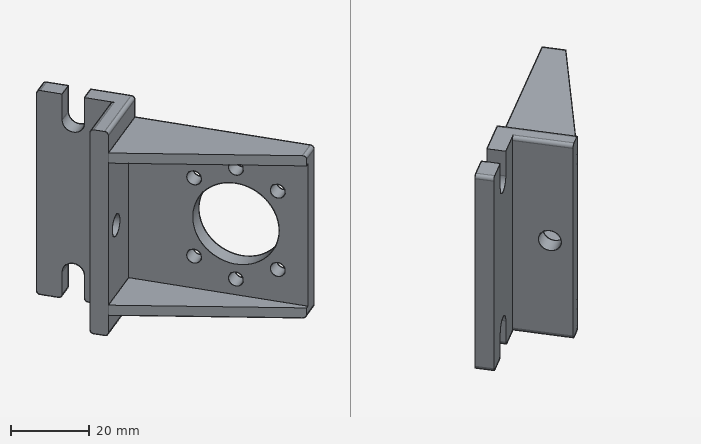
import cadquery as cq

length = 73.5
depth = 21.0
height = 59.0
plate_thickness = 5.0
corner_radius = 1.0

wall_start = 20.0
wall_thickness = 5.0
wall_end = wall_start + wall_thickness
wall_hole_diameter = 6.0
wall_hole_depth = 14.9
wall_hole_z = -0.45

slot_x = 10.0
slot_width = 6.0
slot_depth = 10.5

arm_height = 47.0
rib_thickness = 2.95
rib_end_depth = 6.0

bore_x = 54.0
bore_diameter = 23.4
screw_circle_radius = 16.0
screw_diameter = 4.0
screw_angles = (45, 90, 135, 225, 270, 315)


def block(x_start, x_end, y_depth, z_size):
    """Box running forward from the back face, centred on Z."""
    size_x = x_end - x_start
    return (
        cq.Workplane("XY")
        .box(size_x, y_depth, z_size, centered=(False, False, True))
        .translate((x_start, -y_depth, 0))
    )


def flange_slot(side):
    """Round-ended slot opening through the top (side = 1) or bottom (side = -1)."""
    slot_radius = slot_width / 2
    round_z = side * (height / 2 - slot_depth + slot_radius)
    mouth_z = side * height / 2
    return (
        cq.Workplane("XZ")
        .moveTo(slot_x - slot_radius, mouth_z)
        .lineTo(slot_x - slot_radius, round_z)
        .threePointArc((slot_x, round_z - side * slot_radius), (slot_x + slot_radius, round_z))
        .lineTo(slot_x + slot_radius, mouth_z)
        .close()
        .extrude(plate_thickness)
    )


def make_flange():
    """Slotted plate with rounded outer corners and rounded lower slot mouth."""
    flange = block(0, wall_end, plate_thickness, height)
    flange = flange.edges("|Y").fillet(corner_radius)
    flange = flange.cut(flange_slot(1)).cut(flange_slot(-1))
    for mouth_side in (-1, 1):
        mouth_x = slot_x + mouth_side * slot_width / 2
        mouth_corner = cq.selectors.NearestToPointSelector(
            (mouth_x, -plate_thickness / 2, -height / 2)
        )
        flange = flange.edges(mouth_corner).fillet(corner_radius)
    return flange


def make_wall():
    """Upright wall with rounded corners at its two ends."""
    front = block(wall_start, wall_end, depth, height).edges("|Y").fillet(corner_radius)
    hole = (
        cq.Workplane("YZ", origin=(wall_start, -wall_hole_depth, wall_hole_z))
        .circle(wall_hole_diameter / 2)
        .extrude(wall_thickness)
    )
    return front.cut(hole)


def make_arm():
    """Floor plate between two ribs that taper from the wall to the free end."""
    profile = [
        (wall_end, 0),
        (length, 0),
        (length, -rib_end_depth),
        (wall_end, -depth),
    ]
    arm = (
        cq.Workplane("XY")
        .polyline(profile)
        .close()
        .extrude(arm_height / 2, both=True)
        .edges("|Y and >X")
        .fillet(corner_radius)
    )
    channel = block(wall_end, length, depth, arm_height - 2 * rib_thickness)
    channel = channel.cut(block(wall_end, length, plate_thickness, arm_height))
    return arm.cut(channel)


def make_arm_holes():
    """Bore and the ring of screw holes around it."""
    centre = cq.Workplane("XZ", origin=(bore_x, 0, 0))
    holes = centre.circle(bore_diameter / 2).extrude(plate_thickness)
    for angle in screw_angles:
        screw_hole = (
            centre.transformed(rotate=(0, 0, angle))
            .center(screw_circle_radius, 0)
            .circle(screw_diameter / 2)
            .extrude(plate_thickness)
        )
        holes = holes.union(screw_hole)
    return holes


result = make_flange().union(make_wall()).union(make_arm()).cut(make_arm_holes())